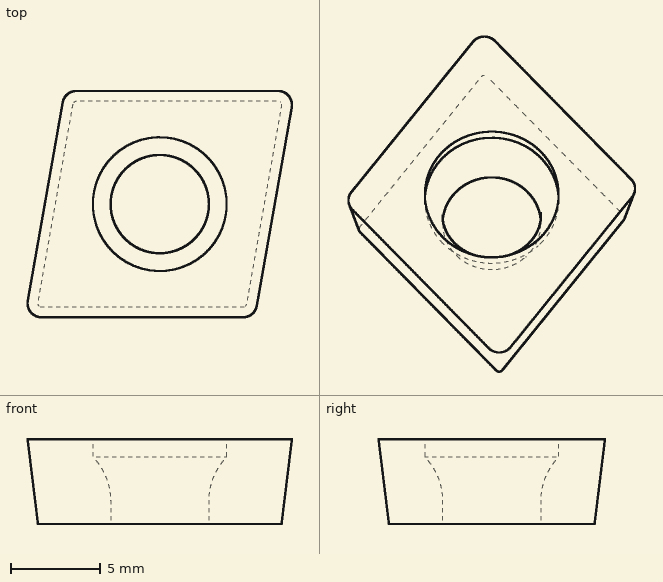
import cadquery as cq
import math

inscribed_diameter = 12.7
thickness = 4.76
nose_angle = 80.0
nose_radius = 0.8
clearance_angle = 7.0

bore_diameter = 5.5
recess_diameter = 7.5
recess_depth = 1.0
seat_radius = 3.5

side_length = inscribed_diameter / math.sin(math.radians(nose_angle))
slant = inscribed_diameter / math.tan(math.radians(nose_angle))


def make_body():
    """Rounded rhombus on the top face, tapering inward toward the bottom."""
    half_height = inscribed_diameter / 2
    near_x = (side_length - slant) / 2
    far_x = (side_length + slant) / 2
    outline = (
        cq.Sketch()
        .polygon([
            (-far_x, -half_height),
            (near_x, -half_height),
            (far_x, half_height),
            (-near_x, half_height),
            (-far_x, -half_height),
        ])
        .vertices()
        .fillet(nose_radius)
    )
    top_face = cq.Workplane("XY", origin=(0, 0, thickness)).placeSketch(outline)
    return top_face.extrude(-thickness, taper=clearance_angle)


def make_hole():
    """Revolved cutter: straight recess, convex screw seat tangent to the bore."""
    bore_radius = bore_diameter / 2
    recess_radius = recess_diameter / 2
    recess_z = thickness - recess_depth

    full_sweep = math.acos(1 - (recess_radius - bore_radius) / seat_radius)
    seat_z = recess_z - seat_radius * math.sin(full_sweep)
    half_sweep = full_sweep / 2
    seat_middle = (
        bore_radius + seat_radius * (1 - math.cos(half_sweep)),
        seat_z + seat_radius * math.sin(half_sweep),
    )

    profile = (
        cq.Workplane("XZ")
        .moveTo(0, 0)
        .lineTo(bore_radius, 0)
        .lineTo(bore_radius, seat_z)
        .threePointArc(seat_middle, (recess_radius, recess_z))
        .lineTo(recess_radius, thickness)
        .lineTo(0, thickness)
        .close()
    )
    return profile.revolve(360, (0, 0, 0), (0, 1, 0))


result = make_body().cut(make_hole())